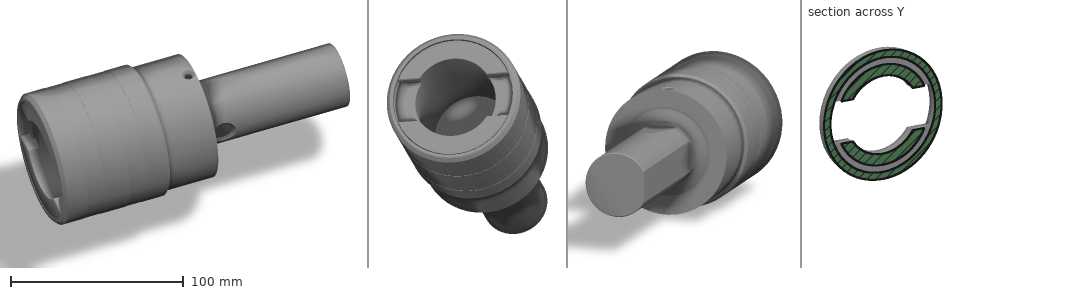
import cadquery as cq
import math

total_length = 185.4
clearance = 1.9

sleeve_radius = 39.5
sleeve_length = 66.0
mouth_chamfer_length = 2.2
mouth_radius = 37.0
mouth_edge_radius = 37.6
mouth_edge_length = 0.4
sleeve_rear_chamfer = 1.3
band_radius = 39.3
band_spans = [(14.6, 26.3), (41.0, 52.1)]

body_radius = 37.0
body_end = 96.5
shoulder_radius = 25.8
shoulder_end = 99.5
shank_radius = 19.1
shank_end_chamfer = 0.5

flat_height = 16.7
cutter_radius = 5.5
flat_end = 103.8
ramp_start = 131.8
dimple_radius = 7.5
dimple_center = 107.0
dimple_floor = 14.8

bore_radius = 23.7
bore_depth = sleeve_length
face_recess = 0.5
insert_radius = 34.9
recess_radius = 35.5
gap_depth = 3.7
slot_half_height = 12.8
slot_depth = 7.5
slot_edge_chamfer = 0.5
slot_corner_height = 1.3
slot_corner_length = 0.7
undercut_inner_radius = 30.8
undercut_width = 2.0

screw_center = 92.1
screw_mouth_radius = 3.7
screw_radius = 2.2
screw_countersink_depth = 1.9
screw_hole_depth = 5.5


def disc(radius, start, end):
    """Solid cylinder along Y between two stations."""
    return cq.Workplane("XZ", origin=(0, start, 0)).circle(radius).extrude(start - end)


def ring(outer_radius, inner_radius, start, end):
    """Hollow cylinder along Y between two stations."""
    return disc(outer_radius, start, end).cut(disc(inner_radius, start, end))


def make_blank():
    """Turned outer shape, with the two shallow bands on the sleeve."""
    profile = (
        cq.Workplane("XY")
        .moveTo(0, 0)
        .lineTo(mouth_radius, 0)
        .lineTo(mouth_edge_radius, mouth_edge_length)
        .lineTo(sleeve_radius, mouth_chamfer_length)
        .lineTo(sleeve_radius, sleeve_length - sleeve_rear_chamfer)
        .lineTo(sleeve_radius - sleeve_rear_chamfer, sleeve_length)
        .lineTo(body_radius, sleeve_length)
        .lineTo(body_radius, body_end)
        .lineTo(shoulder_radius, body_end)
        .lineTo(shank_radius, shoulder_end)
        .lineTo(shank_radius, total_length - shank_end_chamfer)
        .lineTo(shank_radius - shank_end_chamfer, total_length)
        .lineTo(0, total_length)
        .close()
    )
    blank = profile.revolve(360, (0, 0, 0), (0, 1, 0))
    for start, end in band_spans:
        blank = blank.cut(ring(sleeve_radius + clearance, band_radius, start, end))
    return blank


def make_shank_relief(plane, rise):
    """Flat on the shank that ends in a rounded run-out and climbs by `rise` to the ramp start.

    The profile's first axis points out of the shank and its second runs along Y.
    """
    run = ramp_start - flat_end
    tilt = math.atan2(rise, run)
    reach = total_length - flat_end
    far_height = flat_height + reach * math.tan(tilt)
    center_height = flat_height + cutter_radius * math.cos(tilt)
    center_station = flat_end - cutter_radius * math.sin(tilt)
    clear_height = 2 * shank_radius

    def runout_point(station):
        return (
            center_height - math.sqrt(cutter_radius**2 - (station - center_station) ** 2),
            station,
        )

    return (
        cq.Workplane(plane)
        .moveTo(flat_height, flat_end)
        .lineTo(far_height, total_length)
        .lineTo(clear_height, total_length)
        .lineTo(clear_height, shoulder_end)
        .lineTo(*runout_point(shoulder_end))
        .threePointArc(runout_point((shoulder_end + flat_end) / 2), (flat_height, flat_end))
        .close()
        .extrude(shank_radius, both=True)
    )


def make_dimple():
    """Round blind recess on the +X side of the shank."""
    return (
        cq.Workplane("YZ", origin=(dimple_floor, dimple_center, 0))
        .circle(dimple_radius)
        .extrude(shank_radius)
    )


def make_slot():
    """Driving slot across the mouth, with broken edges, corner chamfers and a ring undercut."""
    floor = face_recess + slot_depth
    edge = slot_half_height + slot_edge_chamfer
    inner = slot_half_height - slot_corner_height
    corner_start = floor - slot_corner_length
    outline = [
        (face_recess, edge),
        (face_recess + slot_edge_chamfer, slot_half_height),
        (corner_start, slot_half_height),
        (floor, inner),
    ]
    mirrored = [(y, -z) for y, z in reversed(outline)]
    across = (
        cq.Workplane("YZ")
        .polyline(outline + mirrored)
        .close()
        .extrude(insert_radius, both=True)
        .intersect(disc(insert_radius, 0, floor))
    )
    undercut = ring(insert_radius, undercut_inner_radius, floor - undercut_width, floor)
    return across.union(undercut)


def make_screw_hole():
    """Countersunk blind hole from the top of the body."""
    profile = (
        cq.Workplane("XZ", origin=(0, screw_center, 0))
        .moveTo(0, body_radius - screw_hole_depth)
        .lineTo(screw_radius, body_radius - screw_hole_depth)
        .lineTo(screw_radius, body_radius - screw_countersink_depth)
        .lineTo(screw_mouth_radius, body_radius)
        .lineTo(screw_mouth_radius, body_radius + clearance)
        .lineTo(0, body_radius + clearance)
        .close()
    )
    return profile.revolve(360, (0, 0, 0), (0, 1, 0))


side_plane = cq.Plane(origin=(0, 0, 0), xDir=(-1, 0, 0), normal=(0, 0, -1))
top_plane = cq.Plane(origin=(0, 0, 0), xDir=(0, 0, 1), normal=(-1, 0, 0))

result = make_blank()
result = result.cut(make_shank_relief(side_plane, 0))
result = result.cut(make_shank_relief(top_plane, shank_radius - flat_height))
result = result.cut(make_dimple())
result = result.cut(disc(recess_radius, 0, face_recess))
result = result.cut(ring(recess_radius, insert_radius, 0, gap_depth))
result = result.cut(disc(bore_radius, 0, bore_depth))
result = result.cut(make_slot())
result = result.cut(make_screw_hole())